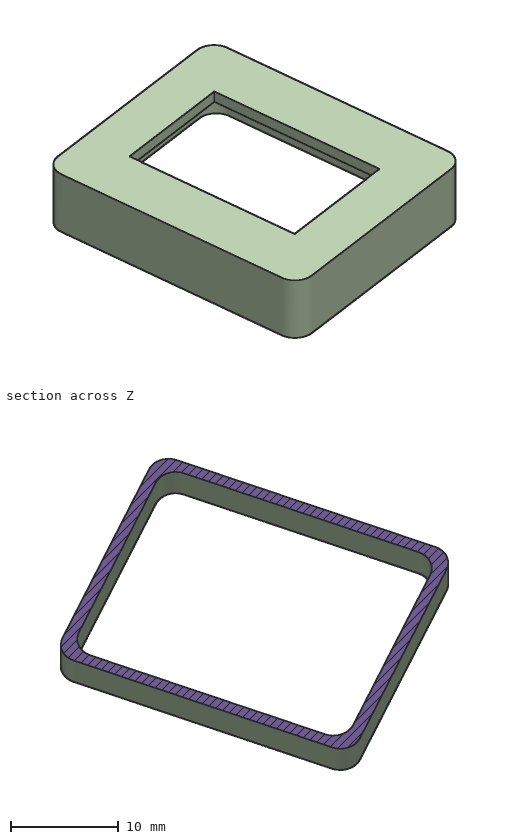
import cadquery as cq

length = 30.0
width = 25.0
height = 6.7
outer_corner_radius = 2.0

window_length = 19.5
window_width = 12.8
plate_thickness = 1.2

wall_thickness = 1.2
cavity_corner_radius = 2.0


def rounded_block(block_length, block_width, block_height, corner_radius):
    """Block standing on Z = 0 with rounded vertical edges."""
    block = cq.Workplane("XY").rect(block_length, block_width).extrude(block_height)
    return block.edges("|Z").fillet(corner_radius)


body = rounded_block(length, width, height, outer_corner_radius)
cavity = rounded_block(
    length - 2 * wall_thickness,
    width - 2 * wall_thickness,
    height - plate_thickness,
    cavity_corner_radius,
)
window = cq.Workplane("XY").rect(window_length, window_width).extrude(height)

result = body.cut(cavity).cut(window)